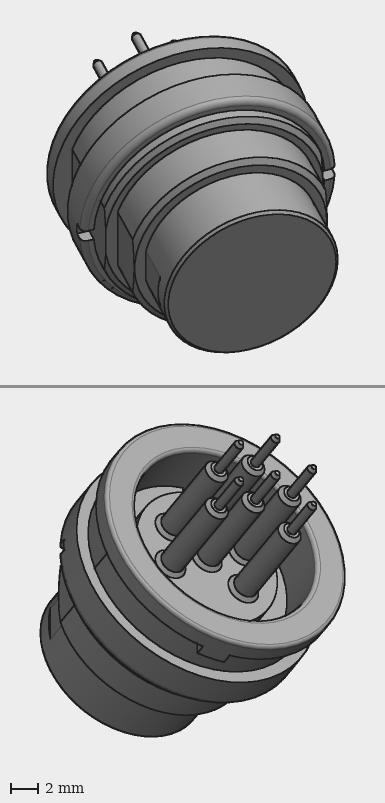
import cadquery as cq
import math


total_length = 24.6
flange_start = 8.07
flange_end = 9.6
insert_face = 11.07
bore_floor = 12.67
nut_start = 12.62
nut_end = 15.6
thread_end = 16.63
collar_end = 20.1

flange_diameter = 20.0
thread_diameter = 18.1
collar_diameter = 16.05
plug_diameter = 13.6
thread_flat_width = 17.0
collar_flat_width = 15.13
plug_flat_width = 13.28
plug_flat_end = 23.07

flange_fillet = 0.3
bore_fillet = 0.32
thread_chamfer_length = 0.3
thread_chamfer_depth = 0.47
collar_chamfer_length = 0.32
collar_chamfer_depth = 0.5
plug_chamfer = 0.22

bore_diameter = 15.0
insert_diameter = 11.7
keyway_width = 2.3
keyway_depth = 0.5
key_width = 2.15
key_top = 7.25

tab_length = 0.85
tab_width = 2.21

nut_diameter = flange_diameter
nut_bore_diameter = thread_diameter
nut_fillet = 0.5
nut_slot_width = 0.98
nut_slot_depth = 0.98

pin_circle_radius = 3.5
pin_diameter = 1.9
pin_shoulder = 3.5
pin_chamfer = 0.32
tip_diameter = 0.75
tip_chamfer = 0.32
tip_chamfer_depth = 0.17
cone_diameter = 2.5
cone_length = 0.32


def cylinder(diameter, start, end):
    """Cylinder on the X axis between two stations."""
    return cq.Workplane("YZ", origin=(start, 0, 0)).circle(diameter / 2).extrude(end - start)


def block(start, end, y_size, z_low, z_high):
    """Box between two stations, centred across Y."""
    return cq.Workplane("XY").box(
        end - start, y_size, z_high - z_low, centered=(False, True, False)
    ).translate((start, 0, z_low))


def flat_sided(body, width, start, end):
    """Trim a stretch of a round body to a width across two flats facing -Y and +Y."""
    sides = cylinder(2 * flange_diameter, start, end).cut(
        block(start, end, width, -flange_diameter, flange_diameter)
    )
    return body.cut(sides)


def chamfered_cylinder(diameter, start, end, chamfer_length, chamfer_depth):
    """Cylinder on the X axis whose far edge is chamfered."""
    radius = diameter / 2
    profile = [
        (start, 0),
        (start, radius),
        (end - chamfer_length, radius),
        (end, radius - chamfer_depth),
        (end, 0),
    ]
    return cq.Workplane("XY").polyline(profile).close().revolve(360, (0, 0, 0), (1, 0, 0))


def make_shell_outside():
    """Flange, thread, collar and plug in a row, the last three with flats."""
    flange = cylinder(flange_diameter, flange_start, flange_end).faces("<X").edges().fillet(flange_fillet)
    thread = chamfered_cylinder(
        thread_diameter, flange_end, thread_end, thread_chamfer_length, thread_chamfer_depth
    )
    collar = chamfered_cylinder(
        collar_diameter, thread_end, collar_end, collar_chamfer_length, collar_chamfer_depth
    )
    plug = chamfered_cylinder(plug_diameter, collar_end, total_length, plug_chamfer, plug_chamfer)
    thread = flat_sided(thread, thread_flat_width, flange_end, thread_end)
    collar = flat_sided(collar, collar_flat_width, thread_end, collar_end)
    plug = flat_sided(plug, plug_flat_width, collar_end, plug_flat_end)
    return flange.union(thread).union(collar).union(plug)


def make_tab():
    """Anti-rotation tab under the thread, flush with the rim of the flange."""
    tab_end = flange_end + tab_length
    rim = cylinder(flange_diameter, flange_end, tab_end).cut(cylinder(thread_diameter, flange_end, tab_end))
    return rim.intersect(block(flange_end, tab_end, tab_width, -flange_diameter / 2, 0))


def cut_rear_bore(shell):
    """Bore with a rounded mouth in the flange, and the round insert raised from its floor."""
    shell = shell.cut(cylinder(bore_diameter, flange_start, bore_floor))
    mouth = cq.selectors.RadiusNthSelector(0)
    shell = shell.faces("<X").edges(mouth).fillet(bore_fillet)
    return shell.union(cylinder(insert_diameter, insert_face, bore_floor))


def cut_keyway(shell):
    """Slot in the bore floor above the insert, with a slightly narrower key standing in it."""
    slot_end = bore_floor + keyway_depth
    floor_ring = cylinder(bore_diameter, bore_floor, slot_end).cut(
        cylinder(insert_diameter, bore_floor, slot_end)
    )
    slot = block(bore_floor, slot_end, keyway_width, 0, bore_diameter / 2)
    key = block(bore_floor, slot_end, key_width, 0, key_top)
    return shell.cut(slot.intersect(floor_ring).cut(key))


def make_pin(y, z):
    """Stepped solder pin along X that stands on a conical foot on the insert."""
    pin_radius = pin_diameter / 2
    tip_radius = tip_diameter / 2
    profile = [
        (0, 0),
        (0, tip_radius - tip_chamfer_depth),
        (tip_chamfer, tip_radius),
        (pin_shoulder, tip_radius),
        (pin_shoulder, pin_radius - pin_chamfer),
        (pin_shoulder + pin_chamfer, pin_radius),
        (insert_face - cone_length, pin_radius),
        (insert_face, cone_diameter / 2),
        (insert_face, 0),
    ]
    pin = cq.Workplane("XY").polyline(profile).close().revolve(360, (0, 0, 0), (1, 0, 0))
    return pin.translate((0, y, z))


def pin_places():
    """One pin on the axis and five on a circle, 60 degrees apart, with the bottom place left empty."""
    places = [(0, 0)]
    for angle in (-30, 30, 90, 150, 210):
        turn = math.radians(angle)
        places.append((pin_circle_radius * math.cos(turn), pin_circle_radius * math.sin(turn)))
    return places


def make_connector():
    """The shell with its insert and pins, as one solid."""
    connector = cut_keyway(cut_rear_bore(make_shell_outside().union(make_tab())))
    for y, z in pin_places():
        connector = connector.union(make_pin(y, z))
    return connector


def make_nut():
    """Ring nut with a rounded front rim and two slots across its front face."""
    nut = cylinder(nut_diameter, nut_start, nut_end).faces(">X").edges().fillet(nut_fillet)
    nut = nut.cut(cylinder(nut_bore_diameter, nut_start, nut_end))
    slot = block(nut_end - nut_slot_depth, nut_end, nut_diameter, -nut_slot_width / 2, nut_slot_width / 2)
    return nut.cut(slot)


connector = make_connector()
nut = make_nut()
result = cq.Compound.makeCompound([connector.solids().val(), nut.solids().val()])